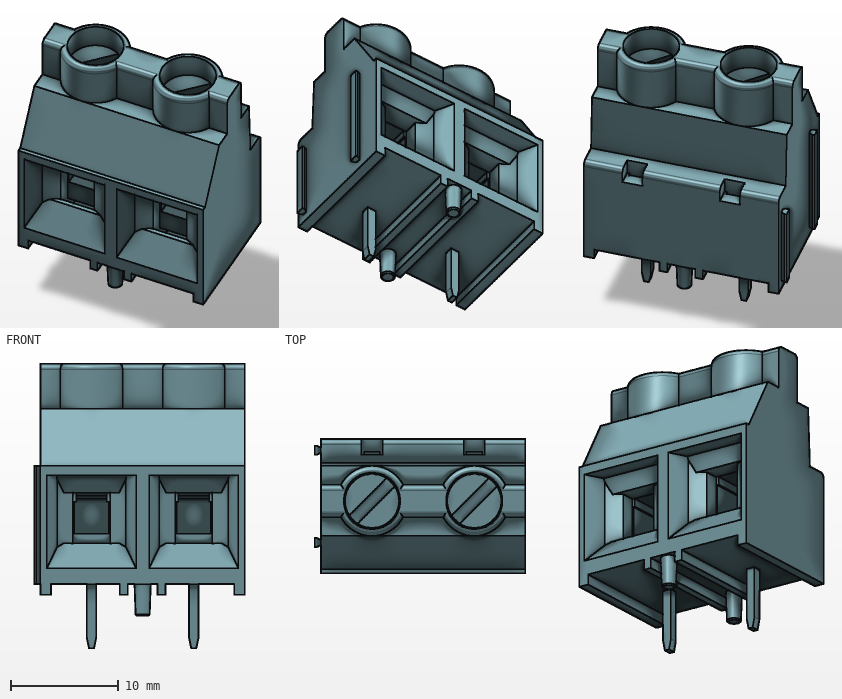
import cadquery as cq
import math


overall_width = 19.6
overall_height = 26.5

pole_pitch = 9.51
pole_centers = [-pole_pitch / 2, pole_pitch / 2]
housing_width = 2 * pole_pitch
housing_depth = 12.5
housing_height = 21.52
edge_radius = 0.5

entry_face_height = 12.0
lip_depth = 0.4
shoulder_height = 17.3
rear_shoulder_height = 16.8
rear_ledge_height = 11.05
rear_ledge_start = 10.28

screw_axis_y = 6.73
collar_radius = 3.25
bar_thickness = 3.02
bar_front = screw_axis_y - bar_thickness / 2
bar_rear = screw_axis_y + bar_thickness / 2
collar_front = screw_axis_y - collar_radius
collar_rear = screw_axis_y + collar_radius

screw_radius = 2.52
screw_clearance = 0.1
screw_top = 19.27
screw_slot_width = 1.09
screw_slot_depth = 0.93
screw_slot_angle = 45

entry_half_width = 4.15
entry_bottom = 2.46
entry_top = 11.13
throat_half_width = 3.2
throat_depth = 1.93
tunnel_half_width = 1.72
tunnel_depth = 2.8
tunnel_top = 9.51
floor_crest_height = 4.8
floor_crest_start = 2.28
floor_crest_end = 2.73
ceiling_ramp_start = 1.83
ceiling_ramp_end = 2.3

chamber_floor = 1.85
clamp_front = 4.3
clamp_rear = 2 * screw_axis_y - clamp_front
clamp_bottom = 3.6
clamp_top = 11.13
clamp_window_width = 3.18
clamp_window_depth = 3.7
clamp_window_bottom = 5.7
clamp_window_top = 8.7
clamp_tooth_width = 2.85
clamp_tooth_height = 0.26
clamp_tooth_count = 3

pin_width = 0.9
pin_thickness = 0.82
pin_front = 7.42
pin_tip_z = housing_height - overall_height
pin_tip_width = 0.48
pin_taper_length = 1.0

foot_height = 1.0
outer_foot_width = 1.0
inner_foot_width = 0.77
inner_foot_offset = 1.75
peg_positions_y = [0.98, 11.5]
peg_radius = 0.77
peg_tip_radius = 0.65
peg_tip_z = -1.93
peg_chamfer = 0.13

rail_projection = overall_width - housing_width
rail_head_width = 0.85
rail_head_thickness = 0.2
rail_neck_width = 0.5
rear_rail_top = 8.98
rail_positions = [(2.85, entry_face_height), (11.45, rear_rail_top)]

notch_width = 1.95
notch_depth = 1.48
notch_height = 1.48
notch_pocket_width = 1.45
notch_pocket_depth = 0.26
notch_pocket_height = 0.75


def box(x_center, width, y_start, y_end, z_start, z_end):
    """Box centred on x_center and bounded by start and end planes in Y and Z."""
    corner = (x_center - width / 2, y_start, z_start)
    size = (width, y_end - y_start, z_end - z_start)
    return cq.Workplane("XY", origin=corner).box(*size, centered=False)


def side_extrusion(points, x_center, width):
    """Prism along X from (Y, Z) outline points."""
    return (
        cq.Workplane("YZ", origin=(x_center - width / 2, 0, 0))
        .polyline(points)
        .close()
        .extrude(width)
    )


def housing_body():
    """Stepped body with a sloping front shoulder and a rear ledge."""
    profile = [
        (0, 0),
        (housing_depth, 0),
        (housing_depth, rear_ledge_height),
        (rear_ledge_start, rear_ledge_height),
        (collar_rear, rear_shoulder_height),
        (bar_rear, rear_shoulder_height),
        (bar_rear, shoulder_height),
        (collar_front, shoulder_height),
        (lip_depth, entry_face_height),
        (0, entry_face_height),
    ]
    body = side_extrusion(profile, 0, housing_width)
    rear_edge = cq.selectors.NearestToPointSelector((0, housing_depth, rear_ledge_height))
    return body.edges(rear_edge).fillet(edge_radius)


def collar_bar():
    """Raised bar with one round collar per screw, rounded along the outer top edge."""
    bar = box(0, housing_width, bar_front, bar_rear, rear_shoulder_height, housing_height)
    bar = bar.edges("|X and >Z").fillet(edge_radius)
    for x in pole_centers:
        collar = (
            cq.Workplane("XY", origin=(x, screw_axis_y, rear_shoulder_height))
            .circle(collar_radius)
            .extrude(housing_height - rear_shoulder_height)
            .faces(">Z")
            .edges()
            .fillet(edge_radius)
        )
        bar = bar.union(collar)
    return bar


def screw_hole(x):
    """Round hole from the collar top down to the clamp."""
    return (
        cq.Workplane("XY", origin=(x, screw_axis_y, clamp_top))
        .circle(screw_radius + screw_clearance)
        .extrude(housing_height - clamp_top)
    )


def wire_entry(x):
    """Funnel that narrows in two steps at the sides, with a ramped floor and ceiling."""
    right_side = [
        (x + entry_half_width, 0),
        (x + throat_half_width, throat_depth),
        (x + tunnel_half_width, tunnel_depth),
        (x + tunnel_half_width, clamp_front),
    ]
    left_side = [(2 * x - px, y) for px, y in reversed(right_side)]
    plan = cq.Workplane("XY").polyline(right_side + left_side).close().extrude(entry_face_height)
    elevation = [
        (0, entry_bottom),
        (floor_crest_start, floor_crest_height),
        (floor_crest_end, floor_crest_height),
        (floor_crest_end, chamber_floor),
        (clamp_front, chamber_floor),
        (clamp_front, tunnel_top),
        (ceiling_ramp_end, tunnel_top),
        (ceiling_ramp_start, entry_top),
        (0, entry_top),
    ]
    return plan.intersect(side_extrusion(elevation, x, 2 * entry_half_width))


def clamp_chamber(x):
    """Chamber behind the wire entry, as deep as the clamp and open below it."""
    return box(x, 2 * tunnel_half_width, clamp_front, clamp_rear, chamber_floor, clamp_top)


def pin_hole(x):
    """Rectangular hole through the housing floor below the clamp."""
    return box(x, pin_width, pin_front, pin_front + pin_thickness, foot_height, chamber_floor)


def underside_channels():
    """Full-depth channels between the ribs that the housing stands on."""
    outer_edge = housing_width / 2 - outer_foot_width
    inner_edge = inner_foot_offset + inner_foot_width / 2
    channel_width = outer_edge - inner_edge
    channels = box(0, 2 * inner_foot_offset - inner_foot_width, 0, housing_depth, 0, foot_height)
    for side in (-1, 1):
        x = side * (inner_edge + outer_edge) / 2
        channels = channels.union(box(x, channel_width, 0, housing_depth, 0, foot_height))
    return channels


def locating_peg(y):
    """Tapered round peg with a chamfered tip."""
    return (
        cq.Workplane("XY", origin=(0, y, foot_height))
        .circle(peg_radius)
        .workplane(offset=peg_tip_z - foot_height)
        .circle(peg_tip_radius)
        .loft()
        .faces("<Z")
        .edges()
        .chamfer(peg_chamfer)
    )


def dovetail_rail(y, top):
    """Vertical rail that widens away from the housing."""
    wall_x = -housing_width / 2
    outer_x = wall_x - rail_projection
    head_x = outer_x + rail_head_thickness
    rear_half = [
        (wall_x, y + rail_neck_width / 2),
        (head_x, y + rail_head_width / 2),
        (outer_x, y + rail_head_width / 2),
    ]
    front_half = [(x, 2 * y - py) for x, py in reversed(rear_half)]
    return (
        cq.Workplane("XY", origin=(0, 0, foot_height))
        .polyline(rear_half + front_half)
        .close()
        .extrude(top - foot_height)
    )


def rear_notch(x):
    """Notch in the rear ledge with a small pocket in its floor."""
    notch_front = housing_depth - notch_depth
    floor = rear_ledge_height - notch_height
    pocket_rear = notch_front + notch_pocket_depth
    notch = box(x, notch_width, notch_front, housing_depth, floor, rear_ledge_height)
    pocket = box(x, notch_pocket_width, notch_front, pocket_rear, floor - notch_pocket_height, floor)
    return notch.union(pocket)


def make_housing():
    housing = housing_body().union(collar_bar()).cut(underside_channels())
    for y in peg_positions_y:
        housing = housing.union(locating_peg(y))
    for y, top in rail_positions:
        housing = housing.union(dovetail_rail(y, top))
    for x in pole_centers:
        housing = housing.cut(screw_hole(x))
        housing = housing.cut(wire_entry(x))
        housing = housing.cut(clamp_chamber(x))
        housing = housing.cut(pin_hole(x))
        housing = housing.cut(rear_notch(x))
    return housing


def make_screw(x):
    """Headless screw resting on the clamp, with a diagonal driver slot."""
    screw = (
        cq.Workplane("XY", origin=(x, screw_axis_y, clamp_top))
        .circle(screw_radius)
        .extrude(screw_top - clamp_top)
    )
    slot = (
        cq.Workplane("XY", origin=(x, screw_axis_y, screw_top - screw_slot_depth))
        .transformed(rotate=(0, 0, screw_slot_angle))
        .rect(2 * collar_radius, screw_slot_width)
        .extrude(screw_slot_depth)
    )
    return screw.cut(slot)


def make_clamp(x):
    """Block with a blind wire window whose ceiling steps forward in hollow-ground teeth."""
    block = box(x, 2 * tunnel_half_width, clamp_front, clamp_rear, clamp_bottom, clamp_top)
    rear = clamp_front + clamp_window_depth
    window = box(x, clamp_window_width, clamp_front, rear, clamp_window_bottom, clamp_window_top)

    tooth = clamp_tooth_height
    arc_middle = tooth * math.sqrt(0.5)
    ceiling = (
        cq.Workplane("YZ", origin=(x - clamp_tooth_width / 2, 0, 0))
        .moveTo(clamp_front, clamp_window_top)
        .lineTo(rear, clamp_window_top)
    )
    for step in range(clamp_tooth_count):
        center_y = rear - (step + 1) * tooth
        base_z = clamp_window_top + step * tooth
        ceiling = ceiling.threePointArc(
            (center_y + arc_middle, base_z + arc_middle),
            (center_y, base_z + tooth),
        )
    ceiling_top = clamp_window_top + clamp_tooth_count * tooth
    ceiling = ceiling.lineTo(clamp_front, ceiling_top).close().extrude(clamp_tooth_width)
    return block.cut(window).cut(ceiling)


def make_pin(x):
    """Flat solder pin, tapered in width at its tip."""
    taper_start = pin_tip_z + pin_taper_length
    outline = [
        (x - pin_width / 2, clamp_bottom),
        (x - pin_width / 2, taper_start),
        (x - pin_tip_width / 2, pin_tip_z),
        (x + pin_tip_width / 2, pin_tip_z),
        (x + pin_width / 2, taper_start),
        (x + pin_width / 2, clamp_bottom),
    ]
    return (
        cq.Workplane("XZ", origin=(0, pin_front + pin_thickness, 0))
        .polyline(outline)
        .close()
        .extrude(pin_thickness)
    )


housing = make_housing()
screws = [make_screw(x) for x in pole_centers]
clamps = [make_clamp(x) for x in pole_centers]
pins = [make_pin(x) for x in pole_centers]

result = cq.Compound.makeCompound([body.val() for body in [housing, *screws, *clamps, *pins]])